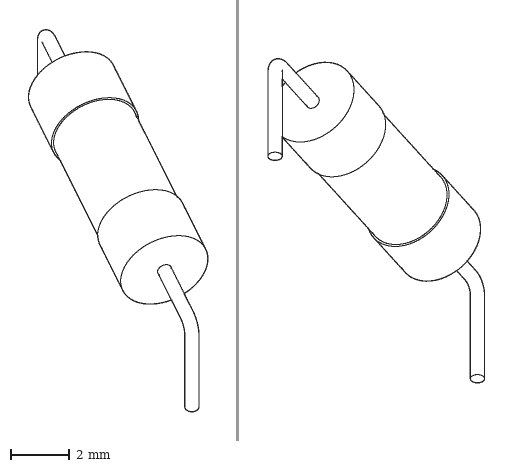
import cadquery as cq

overall_length = 15.5
body_length = 9.4
cap_diameter = 3.2
waist_diameter = 3.04
cap_length = body_length / 4
waist_length = body_length - 2 * cap_length

wire_diameter = 0.5
bend_radius = wire_diameter
overall_height = 5.63
lead_x = (overall_length - wire_diameter) / 2
lead_bottom_z = cap_diameter / 2 - overall_height


def make_body():
    """Solid cylinder with a slightly narrower waist between its two end caps."""
    return (
        cq.Workplane("YZ", origin=(-body_length / 2, 0, 0))
        .circle(cap_diameter / 2)
        .extrude(cap_length)
        .faces(">X").workplane()
        .circle(waist_diameter / 2)
        .extrude(waist_length)
        .faces(">X").workplane()
        .circle(cap_diameter / 2)
        .extrude(cap_length)
    )


def make_lead(side):
    """Round wire leaving an end face and bending down; side is -1 or +1 along X."""
    face_x = side * body_length / 2
    bend_start_x = side * (lead_x - bend_radius)
    path = (
        cq.Workplane("XZ")
        .moveTo(face_x, 0)
        .lineTo(bend_start_x, 0)
        .tangentArcPoint((side * lead_x, -bend_radius), relative=False)
        .lineTo(side * lead_x, lead_bottom_z)
    )
    return (
        cq.Workplane("YZ", origin=(face_x, 0, 0))
        .circle(wire_diameter / 2)
        .sweep(path)
    )


body = make_body()
leads = [make_lead(side) for side in (-1, 1)]

result = cq.Compound.makeCompound([body.val(), *[lead.val() for lead in leads]])